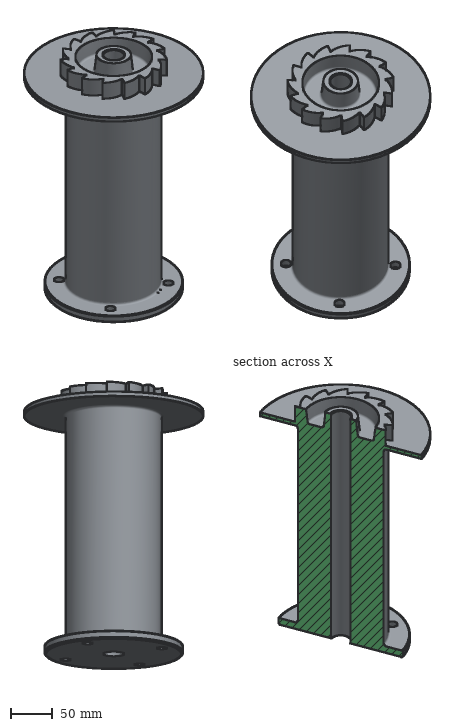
import cadquery as cq
import math

total_height = 323.0

base_diameter = 166.0
base_thickness = 10.0
base_top_chamfer = 1.0
base_bottom_chamfer = 2.0
bolt_hole_diameter = 12.0
bolt_circle_diameter = 131.0
bolt_count = 4
first_bolt_angle = 45.0

barrel_diameter = 115.0
barrel_fillet = 3.0

top_flange_diameter = 215.0
top_flange_thickness = 6.0
top_flange_chamfer = 0.5

tooth_count = 15
tooth_tip_radius = 63.8
tooth_root_radius = 54.3
tooth_back_mid_radius = 60.0
first_tip_angle = 90.1
tooth_tip_land_angle = 0.8
tooth_gap_floor_angle = 0.8
tooth_undercut_angle = 0.8
ratchet_height = 22.0
hub_protrusion = 3.0

recess_mouth_diameter = 92.0
recess_floor_diameter = 87.0
recess_depth = 20.0
recess_fillet = 3.0
hub_top_diameter = 41.5
hub_foot_diameter = 46.4
hub_fillet = 3.0
bore_diameter = 25.0
bore_chamfer = 1.0

selection_margin = 0.1

ratchet_top = total_height - hub_protrusion
top_flange_top = ratchet_top - ratchet_height
top_flange_bottom = top_flange_top - top_flange_thickness
recess_floor = ratchet_top - recess_depth


def cone(bottom_diameter, top_diameter, bottom, top):
    """Solid truncated cone on the drum axis between two levels."""
    return cq.Workplane("XY").add(
        cq.Solid.makeCone(bottom_diameter / 2, top_diameter / 2, top - bottom, cq.Vector(0, 0, bottom))
    )


def polar(radius, angle):
    """Point at a radius and an angle in degrees."""
    return (radius * math.cos(math.radians(angle)), radius * math.sin(math.radians(angle)))


def drum():
    """Barrel between the base flange and the top flange, filleted into both."""
    base_radius = base_diameter / 2
    flange_radius = top_flange_diameter / 2
    barrel_radius = barrel_diameter / 2
    fillet_sag = barrel_fillet * (1 - math.sqrt(0.5))
    profile = (
        cq.Workplane("XZ")
        .lineTo(base_radius - base_bottom_chamfer, 0)
        .lineTo(base_radius, base_bottom_chamfer)
        .lineTo(base_radius, base_thickness - base_top_chamfer)
        .lineTo(base_radius - base_top_chamfer, base_thickness)
        .lineTo(barrel_radius + barrel_fillet, base_thickness)
        .threePointArc(
            (barrel_radius + fillet_sag, base_thickness + fillet_sag),
            (barrel_radius, base_thickness + barrel_fillet),
        )
        .lineTo(barrel_radius, top_flange_bottom - barrel_fillet)
        .threePointArc(
            (barrel_radius + fillet_sag, top_flange_bottom - fillet_sag),
            (barrel_radius + barrel_fillet, top_flange_bottom),
        )
        .lineTo(flange_radius - top_flange_chamfer, top_flange_bottom)
        .lineTo(flange_radius, top_flange_bottom + top_flange_chamfer)
        .lineTo(flange_radius, top_flange_top - top_flange_chamfer)
        .lineTo(flange_radius - top_flange_chamfer, top_flange_top)
        .lineTo(0, top_flange_top)
        .close()
    )
    return profile.revolve(360, (0, 0, 0), (0, 1, 0))


def ratchet_wheel():
    """Saw-toothed wheel: undercut faces, convex backs, narrow flats at tip and root."""
    pitch = 360.0 / tooth_count
    outline = cq.Workplane("XY").workplane(offset=top_flange_top)
    outline = outline.moveTo(*polar(tooth_tip_radius, first_tip_angle))
    for tooth in range(tooth_count):
        tip_angle = first_tip_angle - tooth * pitch
        face_foot_angle = tip_angle - tooth_undercut_angle
        back_foot_angle = face_foot_angle - tooth_gap_floor_angle
        next_tip_angle = tip_angle - pitch
        back_top_angle = next_tip_angle + tooth_tip_land_angle
        outline = outline.lineTo(*polar(tooth_root_radius, face_foot_angle))
        outline = outline.lineTo(*polar(tooth_root_radius, back_foot_angle))
        outline = outline.threePointArc(
            polar(tooth_back_mid_radius, (back_foot_angle + back_top_angle) / 2),
            polar(tooth_tip_radius, back_top_angle),
        )
        if tooth < tooth_count - 1:
            outline = outline.lineTo(*polar(tooth_tip_radius, next_tip_angle))
    return outline.close().extrude(ratchet_height)


def recess():
    """Tapered pocket with a rounded floor edge."""
    pocket = cone(recess_floor_diameter, recess_mouth_diameter, recess_floor, ratchet_top)
    return pocket.faces("<Z").edges().fillet(recess_fillet)


def bolt_holes():
    """Through holes evenly spaced round the base flange."""
    return (
        cq.Workplane("XY")
        .polarArray(bolt_circle_diameter / 2, first_bolt_angle, 360, bolt_count)
        .circle(bolt_hole_diameter / 2)
        .extrude(base_thickness + barrel_fillet)
    )


def hub():
    """Tapered hub rising from the recess floor past the ratchet wheel."""
    return cone(hub_foot_diameter, hub_top_diameter, recess_floor, total_height)


def round_hub_foot(body):
    """Fillet the circle where the hub meets the recess floor."""
    reach = hub_foot_diameter / 2 + selection_margin
    foot_edges = cq.selectors.BoxSelector(
        (-reach, -reach, recess_floor - selection_margin),
        (reach, reach, recess_floor + selection_margin),
    )
    return body.edges(foot_edges).fillet(hub_fillet)


def bore():
    """Through bore with a countersunk upper mouth."""
    hole = cq.Workplane("XY").circle(bore_diameter / 2).extrude(total_height)
    mouth_diameter = bore_diameter + 2 * bore_chamfer
    return hole.union(cone(bore_diameter, mouth_diameter, total_height - bore_chamfer, total_height))


result = drum().union(ratchet_wheel()).cut(recess()).union(hub())
result = round_hub_foot(result)
result = result.cut(bolt_holes()).cut(bore())